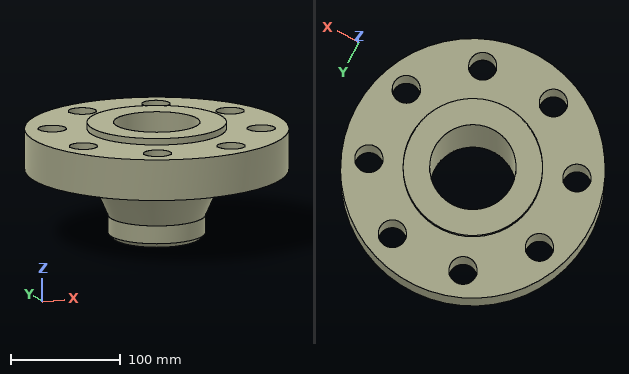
import cadquery as cq

flange_diameter = 241.3
flange_thickness = 38.1
face_diameter = 127.2
face_height = 6.0
bore_diameter = 78.7

hub_diameter = 126.7
hub_height = 42.5
neck_diameter = 89.3
neck_height = 16.6
bevel_height = 4.5
bevel_end_diameter = 80.5

bolt_count = 8
bolt_hole_diameter = 25.5
bolt_circle_diameter = 190.5
bolt_pitch_angle = 360 / bolt_count

neck_bottom = bevel_height
hub_bottom = neck_bottom + neck_height
flange_bottom = hub_bottom + hub_height
flange_top = flange_bottom + flange_thickness
face_top = flange_top + face_height


def make_body():
    """Revolve half of the bored cross-section around Z."""
    profile = [
        (bore_diameter / 2, 0),
        (bevel_end_diameter / 2, 0),
        (neck_diameter / 2, neck_bottom),
        (neck_diameter / 2, hub_bottom),
        (hub_diameter / 2, flange_bottom),
        (flange_diameter / 2, flange_bottom),
        (flange_diameter / 2, flange_top),
        (face_diameter / 2, flange_top),
        (face_diameter / 2, face_top),
        (bore_diameter / 2, face_top),
    ]
    return cq.Workplane("XZ").polyline(profile).close().revolve(360, (0, 0, 0), (0, 1, 0))


def make_bolt_holes():
    """Cylinders that pass through the flange thickness."""
    return (
        cq.Workplane("XY")
        .workplane(offset=flange_bottom)
        .polarArray(bolt_circle_diameter / 2, bolt_pitch_angle / 2, 360, bolt_count)
        .circle(bolt_hole_diameter / 2)
        .extrude(flange_thickness)
    )


result = make_body().cut(make_bolt_holes())